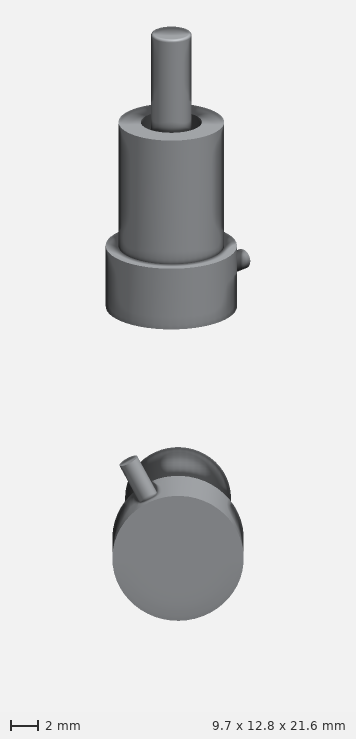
import cadquery as cq

base_diameter = 9.7
base_height = 4.79
sleeve_diameter = 7.8
housing_height = 14.54
bore_diameter = 4.5
bore_depth = housing_height - base_height

peg_diameter = 1.49
peg_axis_height = 1.5
peg_tip_y = 7.98

rod_diameter = 3.0
rod_top = 21.57
rod_edge_fillet = 0.2


def make_side_peg():
    """Round peg from the housing axis out to its tip."""
    return (
        cq.Workplane("XZ")
        .center(0, peg_axis_height)
        .circle(peg_diameter / 2)
        .extrude(-peg_tip_y)
    )


def make_housing():
    """Stepped cylinder with its side peg and blind bore."""
    base = cq.Workplane("XY").circle(base_diameter / 2).extrude(base_height)
    sleeve = cq.Workplane("XY").circle(sleeve_diameter / 2).extrude(housing_height)
    bore = (
        cq.Workplane("XY")
        .workplane(offset=housing_height - bore_depth)
        .circle(bore_diameter / 2)
        .extrude(bore_depth)
    )
    return base.union(sleeve).union(make_side_peg()).cut(bore)


def make_rod():
    """Rod from the bore floor to the top, with a rounded upper edge."""
    bore_floor = housing_height - bore_depth
    return (
        cq.Workplane("XY")
        .workplane(offset=bore_floor)
        .circle(rod_diameter / 2)
        .extrude(rod_top - bore_floor)
        .faces(">Z")
        .edges()
        .fillet(rod_edge_fillet)
    )


housing = make_housing()
rod = make_rod()

result = cq.Compound.makeCompound([housing.val(), rod.val()])